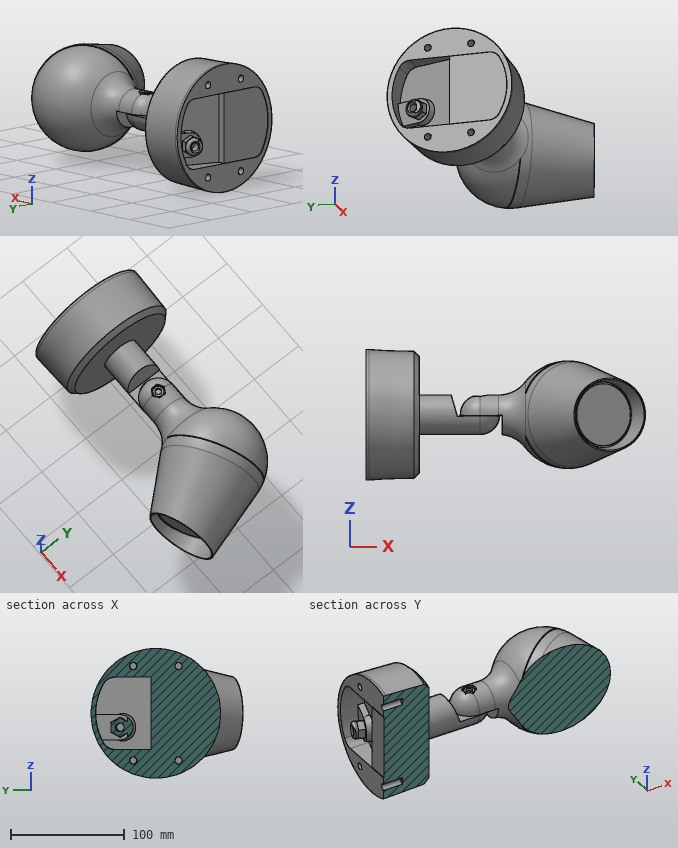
import cadquery as cq
import math


def direction(angle):
    """Unit vector in the XY plane at an angle in degrees from +X."""
    return cq.Vector(math.cos(math.radians(angle)), math.sin(math.radians(angle)), 0)


base_radius = 57.5
base_front_radius = 56.0
base_length = 47.0
base_rim = 2.5
base_chamfer = 5.0

mount_hole_dia = 6.1
mount_hole_depth = 19.7
mount_hole_y = 20.0
mount_hole_z = 41.5

pocket_radius = 52.9
pocket_half_height = 31.7
pocket_corner = 11.0
seat_depth = 0.5
slope_start_depth = 7.4
slope_angle = 18.0

gland_along_slope = 30.7
gland_z = -12.3
pad_width = 22.1
pad_height = 6.5
pad_foot_dia = 24.0
hex_flats = 15.2
hex_height = 6.5
cap_dia = 16.0
cap_height = 4.2
cap_round = 2.7
gland_bore_dia = 7.1
gland_mouth_dia = 10.0
gland_mouth_depth = 1.5

stem_radius = 17.5
pivot_x = 100.3
shoulder_top_x = 75.0
shoulder_foot_x = 80.5
arm_flat_z = -1.2
knuckle_flat_z = -0.5
knuckle_notch_x = 119.7
pivot_disc_dia = 30.0

recess_flats = 11.5
recess_floor_z = 14.8
screw_dia = 10.0
screw_top_z = 15.7
screw_socket_dia = 6.0
screw_socket_depth = 2.5

overall_length = 245.8
head_radius = 47.5
head_angle = -60.0
cone_half_angle = 12.0
rim_offset = 74.5
rim_wall = 1.2
neck_fillet = 29.5
seam_width = 0.5
seam_depth = 0.5

lens_offset = 62.7
lens_dia = 54.5
lens_gap = 1.5
lens_gap_depth = 1.2

outer_side_angle = head_angle - cone_half_angle
inner_side_angle = head_angle + cone_half_angle
outer_tangent = direction(outer_side_angle + 90) * head_radius
inner_tangent = direction(inner_side_angle - 90) * head_radius
rim_normal = direction(outer_side_angle)
outer_corner = outer_tangent + rim_normal * rim_offset
head_center = cq.Vector(overall_length - outer_corner.x, 0, 0)


def build_base():
    chamfer_x = base_length - base_chamfer
    base = (
        cq.Workplane("XY")
        .polyline([
            (0, 0),
            (0, base_radius),
            (base_rim, base_radius),
            (chamfer_x, base_front_radius),
            (base_length, base_front_radius - base_chamfer),
            (base_length, 0),
        ])
        .close()
        .revolve(360, (0, 0, 0), (1, 0, 0))
    )
    holes = (
        cq.Workplane("YZ")
        .rect(2 * mount_hole_y, 2 * mount_hole_z, forConstruction=True)
        .vertices()
        .circle(mount_hole_dia / 2)
        .extrude(mount_hole_depth)
    )
    return base.cut(holes)


def build_pocket():
    outline = (
        cq.Workplane("YZ")
        .circle(pocket_radius)
        .extrude(base_length)
        .intersect(cq.Workplane("XY").box(2 * base_length, 2 * pocket_radius, 2 * pocket_half_height))
        .edges("|X")
        .fillet(pocket_corner)
    )
    far_depth = slope_start_depth + pocket_radius * math.tan(math.radians(slope_angle))
    depth_section = (
        cq.Workplane("XY")
        .polyline([
            (0, -pocket_radius),
            (seat_depth, -pocket_radius),
            (seat_depth, 0),
            (slope_start_depth, 0),
            (far_depth, pocket_radius),
            (0, pocket_radius),
        ])
        .close()
        .extrude(pocket_half_height, both=True)
    )
    return outline.intersect(depth_section)


def build_gland():
    floor = cq.Plane(
        origin=(slope_start_depth, 0, 0),
        xDir=(0, 0, 1),
        normal=direction(180 - slope_angle).toTuple(),
    )
    seat = cq.Workplane(floor).center(gland_z, gland_along_slope)
    pad = (
        seat.center(0, pocket_radius / 2)
        .rect(pad_width, pocket_radius)
        .extrude(pad_height)
    )
    foot = (
        seat.circle(pad_foot_dia / 2)
        .workplane(offset=pad_height)
        .circle(pad_width / 2)
        .loft()
    )
    half_side_turn = 360 / 6 / 2
    hexagon = (
        seat.workplane(offset=pad_height)
        .transformed(rotate=(0, 0, half_side_turn))
        .polygon(6, hex_flats, circumscribed=True)
        .extrude(hex_height)
    )
    cap = (
        seat.workplane(offset=pad_height + hex_height)
        .circle(cap_dia / 2)
        .extrude(cap_height)
        .faces(cq.selectors.DirectionMinMaxSelector(floor.zDir, True))
        .edges()
        .fillet(cap_round)
    )
    bore = (
        seat.workplane(offset=pad_height)
        .circle(gland_bore_dia / 2)
        .extrude(hex_height + cap_height)
    )
    mouth = (
        seat.workplane(offset=pad_height + hex_height + cap_height - gland_mouth_depth)
        .circle(gland_bore_dia / 2)
        .workplane(offset=gland_mouth_depth)
        .circle(gland_mouth_dia / 2)
        .loft()
    )
    return pad.union(foot).union(hexagon).union(cap).cut(bore).cut(mouth)


def build_arm():
    stem = (
        cq.Workplane("YZ", origin=(base_length, 0, 0))
        .circle(stem_radius)
        .extrude(pivot_x - base_length)
    )
    stem = stem.union(cq.Workplane("XY").sphere(stem_radius).translate((pivot_x, 0, 0)))
    clearance = (
        cq.Workplane("XZ")
        .polyline([
            (shoulder_top_x, stem_radius),
            (shoulder_foot_x, arm_flat_z),
            (pivot_x + stem_radius, arm_flat_z),
            (pivot_x + stem_radius, stem_radius),
        ])
        .close()
        .extrude(stem_radius, both=True)
    )
    pivot_disc = (
        cq.Workplane("XY", origin=(pivot_x, 0, arm_flat_z))
        .circle(pivot_disc_dia / 2)
        .extrude(knuckle_flat_z - arm_flat_z)
    )
    return stem.cut(clearance).union(pivot_disc)


def build_knuckle():
    fillet_y = stem_radius + neck_fillet
    center_distance = head_radius + neck_fillet
    flare_length = math.sqrt(center_distance**2 - fillet_y**2)
    flare_x = head_center.x - flare_length
    sphere_point = (
        head_center.x - flare_length * head_radius / center_distance,
        fillet_y * head_radius / center_distance,
    )
    half_dome = stem_radius * math.sqrt(0.5)
    body = (
        cq.Workplane("XY")
        .moveTo(pivot_x - stem_radius, 0)
        .threePointArc((pivot_x - half_dome, half_dome), (pivot_x, stem_radius))
        .lineTo(flare_x, stem_radius)
        .tangentArcPoint(sphere_point, relative=False)
        .lineTo(head_center.x, 0)
        .close()
        .revolve(360, (0, 0, 0), (1, 0, 0))
    )
    notch = (
        cq.Workplane("XY", origin=(0, 0, knuckle_flat_z - 2 * stem_radius))
        .box(knuckle_notch_x, 4 * stem_radius, 2 * stem_radius, centered=(False, True, False))
    )
    return body.cut(notch).cut(build_screw_recess())


def build_screw_recess():
    recess = (
        cq.Workplane("XY", origin=(pivot_x, 0, recess_floor_z))
        .polygon(6, recess_flats, circumscribed=True)
        .extrude(stem_radius)
    )
    screw = (
        cq.Workplane("XY", origin=(pivot_x, 0, recess_floor_z))
        .circle(screw_dia / 2)
        .extrude(screw_top_z - recess_floor_z)
    )
    socket = (
        cq.Workplane("XY", origin=(pivot_x, 0, screw_top_z - screw_socket_depth))
        .circle(screw_socket_dia / 2)
        .extrude(screw_socket_depth)
    )
    return recess.cut(screw).union(socket)


def build_head():
    section = cq.Plane(
        origin=head_center.toTuple(),
        xDir=direction(head_angle + 90).toTuple(),
        normal=(0, 0, -1),
    )
    slope = math.radians(cone_half_angle)
    cone_start = head_radius * math.sin(slope)
    cone_start_radius = head_radius * math.cos(slope)
    cone_end = cone_start + rim_offset
    cone_end_radius = cone_start_radius - rim_offset * math.tan(slope)
    head = (
        cq.Workplane(section)
        .moveTo(0, -head_radius)
        .threePointArc((head_radius, 0), (cone_start_radius, cone_start))
        .lineTo(cone_end_radius, cone_end)
        .lineTo(0, cone_end)
        .close()
        .revolve(360, (0, 0, 0), (0, 1, 0))
    )
    seam = (
        cq.Workplane(section)
        .center(head_radius, 0)
        .rect(2 * seam_depth, seam_width)
        .revolve(360, (-head_radius, 0, 0), (-head_radius, 1, 0))
    )
    rim_plane = cq.Plane(
        origin=(head_center + rim_normal * rim_offset).toTuple(),
        xDir=direction(outer_side_angle + 90).toTuple(),
        normal=rim_normal.toTuple(),
    )
    beyond_rim = (
        cq.Workplane(rim_plane)
        .rect(4 * head_radius, 4 * head_radius)
        .extrude(head_radius)
    )
    return head.cut(seam).cut(beyond_rim).cut(build_opening())


def build_opening():
    axis = direction(head_angle)
    inner_side = direction(inner_side_angle)
    inner_run = (rim_offset - inner_tangent.dot(rim_normal)) / inner_side.dot(rim_normal)
    inner_corner = inner_tangent + inner_side * inner_run

    across = direction(head_angle + 90)
    half_length = (outer_corner - inner_corner).Length / 2
    half_width = math.sqrt(outer_corner.dot(across) * -inner_corner.dot(across))
    mouth_plane = cq.Plane(
        origin=(head_center + (outer_corner + inner_corner) * 0.5).toTuple(),
        xDir=direction(outer_side_angle + 90).toTuple(),
        normal=rim_normal.toTuple(),
    )
    lens_plane = cq.Plane(
        origin=(head_center + axis * lens_offset).toTuple(),
        xDir=across.toTuple(),
        normal=axis.toTuple(),
    )
    seat_radius = lens_dia / 2 + lens_gap
    mouth = cq.Workplane(mouth_plane).ellipse(half_length - rim_wall, half_width - rim_wall)
    seat = cq.Workplane(lens_plane).circle(seat_radius)
    flare = cq.Solid.makeLoft([seat.wires().val(), mouth.wires().val()], True)
    gap = (
        cq.Workplane(lens_plane)
        .circle(seat_radius)
        .circle(lens_dia / 2)
        .extrude(-lens_gap_depth)
    )
    return gap.union(cq.Workplane(flare))


pocket = build_pocket()
gland = build_gland().intersect(pocket)
base = build_base().cut(pocket).union(gland)
result = base.union(build_arm()).union(build_knuckle()).union(build_head())